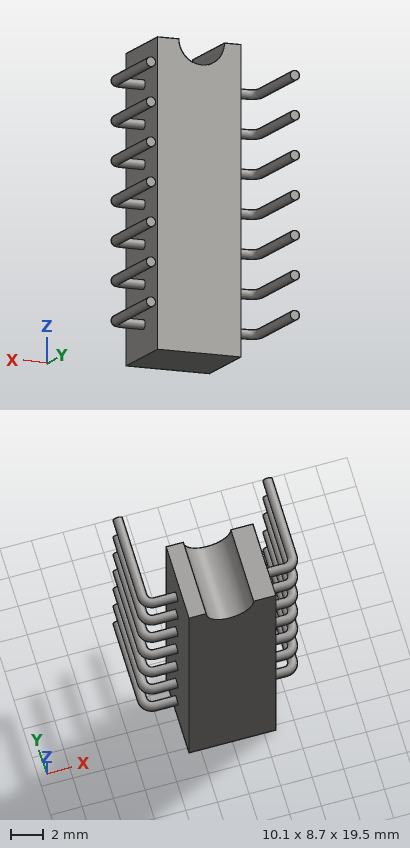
import cadquery as cq

body_width = 5.5
body_depth = 5.0
body_height = 19.5

notch_radius = 1.5
notch_x = -0.15

pin_diameter = 0.6
pin_span = 10.1
pin_bend_radius = 0.6
pin_y = 2.71
pin_tip_y = 8.7
pin_count = 7
pin_pitch = 2.5
lowest_pin_z = 2.0


def make_body():
    block = cq.Workplane("XY").box(body_width, body_depth, body_height, centered=(True, False, False))
    notch = (
        cq.Workplane("XZ", origin=(notch_x, 0, body_height))
        .circle(notch_radius)
        .extrude(-body_depth)
    )
    return block.cut(notch)


def make_pin(z):
    """Right-hand pin: out of the body along +X, then bent to +Y."""
    leg_x = (pin_span - pin_diameter) / 2
    root_x = body_width / 2 - pin_diameter
    path = (
        cq.Workplane("XY", origin=(0, 0, z))
        .moveTo(root_x, pin_y)
        .lineTo(leg_x - pin_bend_radius, pin_y)
        .tangentArcPoint((leg_x, pin_y + pin_bend_radius), relative=False)
        .lineTo(leg_x, pin_tip_y)
    )
    section = cq.Workplane("YZ", origin=(root_x, pin_y, z)).circle(pin_diameter / 2)
    return section.sweep(path)


result = make_body()
for index in range(pin_count):
    pin = make_pin(lowest_pin_z + index * pin_pitch)
    result = result.union(pin).union(pin.mirror("YZ"))